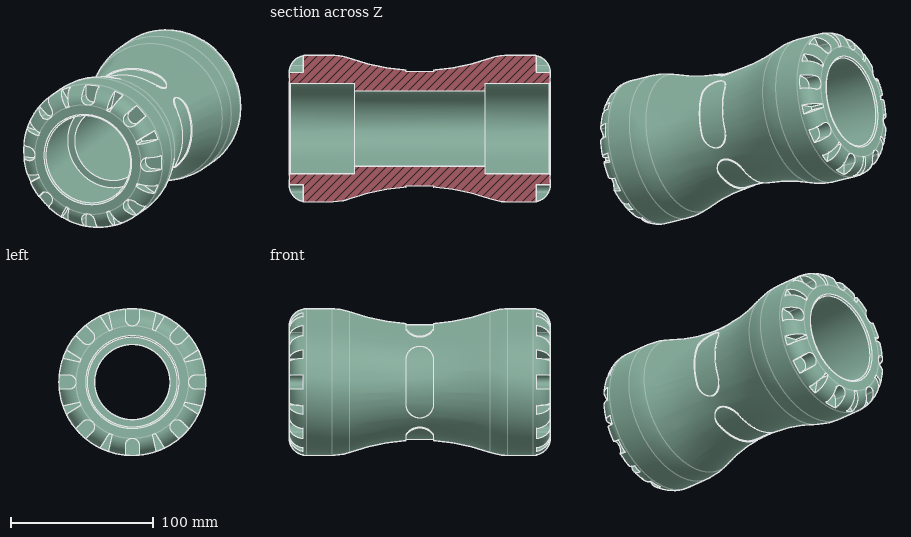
import cadquery as cq
import math

length = 183.0
outer_radius = 103.0 / 2
end_fillet = 12.0
half_length = length / 2

shoulder_start = 61.5
shoulder_arc_radius = 36.6
waist_arc_radius = 144.5
arc_radius_sum = shoulder_arc_radius + waist_arc_radius
flank_angle = math.asin(shoulder_start / arc_radius_sum)
waist_radius = outer_radius - arc_radius_sum * (1 - math.cos(flank_angle))

bore_radius = 52.5 / 2
seat_radius = 63.0 / 2
seat_depth = 45.8
seat_chamfer = 1.1

recess_count = 4
recess_width = 19.4
recess_length = 50.1
recess_floor_radius = 40.3

notch_count = 8
notch_depth = 9.9
round_notch_width = 9.9
notch_floor_radius = 39.3
taper_floor_width = 2.2
taper_half_angle = math.radians(10)
notch_overshoot = 3.7
notch_top_radius = outer_radius + notch_overshoot


def waist_point(angle):
    """Point (x, radius) on the waist arc, at an angle from its lowest point."""
    x = waist_arc_radius * math.sin(angle)
    radius = waist_radius + waist_arc_radius * (1 - math.cos(angle))
    return x, radius


def shoulder_point(angle):
    """Point (x, radius) on the shoulder arc, at an angle from the straight rim."""
    x = shoulder_start - shoulder_arc_radius * math.sin(angle)
    radius = outer_radius - shoulder_arc_radius * (1 - math.cos(angle))
    return x, radius


def mirrored(point):
    x, radius = point
    return -x, radius


def turned_body():
    rim = (shoulder_start, outer_radius)
    shoulder_middle = shoulder_point(flank_angle / 2)
    flank = waist_point(flank_angle)
    blank = (
        cq.Workplane("XY")
        .moveTo(-half_length, 0)
        .lineTo(-half_length, outer_radius)
        .lineTo(*mirrored(rim))
        .threePointArc(mirrored(shoulder_middle), mirrored(flank))
        .threePointArc((0, waist_radius), flank)
        .threePointArc(shoulder_middle, rim)
        .lineTo(half_length, outer_radius)
        .lineTo(half_length, 0)
        .close()
        .revolve(360, (0, 0, 0), (1, 0, 0))
    )
    return blank.faces("<X or >X").edges().fillet(end_fillet)


def bore():
    seat_floor = half_length - seat_depth
    chamfer_start = half_length - seat_chamfer
    mouth_radius = seat_radius + seat_chamfer
    right_half = [
        (seat_floor, bore_radius),
        (seat_floor, seat_radius),
        (chamfer_start, seat_radius),
        (half_length, mouth_radius),
        (half_length, 0),
    ]
    left_half = [mirrored(point) for point in reversed(right_half)]
    return (
        cq.Workplane("XY")
        .polyline(left_half + right_half)
        .close()
        .revolve(360, (0, 0, 0), (1, 0, 0))
    )


def grip_recess():
    """Stadium plug above the cylindrical recess floor, on the +Z side."""
    plug = (
        cq.Workplane("XY")
        .slot2D(recess_length, recess_width, 90)
        .extrude(outer_radius)
    )
    floor = cq.Workplane("YZ").circle(recess_floor_radius).extrude(recess_width, both=True)
    return plug.cut(floor)


def round_notch():
    """U-shaped cutter at the -X end, on the +Z side."""
    half_width = round_notch_width / 2
    round_center = notch_floor_radius + half_width
    return (
        cq.Workplane("YZ", origin=(-half_length, 0, 0))
        .moveTo(-half_width, notch_top_radius)
        .lineTo(-half_width, round_center)
        .threePointArc((0, notch_floor_radius), (half_width, round_center))
        .lineTo(half_width, notch_top_radius)
        .close()
        .extrude(notch_depth)
    )


def tapered_notch():
    """Cutter at the -X end, on the +Z side, widening outward from a flat floor."""
    half_floor = taper_floor_width / 2
    half_top = half_floor + (notch_top_radius - notch_floor_radius) * math.tan(taper_half_angle)
    return (
        cq.Workplane("YZ", origin=(-half_length, 0, 0))
        .polyline([
            (-half_floor, notch_floor_radius),
            (half_floor, notch_floor_radius),
            (half_top, notch_top_radius),
            (-half_top, notch_top_radius),
        ])
        .close()
        .extrude(notch_depth)
    )


def about_axis(shape, angle):
    return shape.rotate((0, 0, 0), (1, 0, 0), angle)


result = turned_body().cut(bore())

for index in range(recess_count):
    result = result.cut(about_axis(grip_recess(), index * 360 / recess_count))

notch_pitch = 360 / notch_count
for index in range(notch_count):
    notches = [
        about_axis(round_notch(), index * notch_pitch),
        about_axis(tapered_notch(), (index + 0.5) * notch_pitch),
    ]
    for notch in notches:
        result = result.cut(notch).cut(notch.mirror("YZ"))